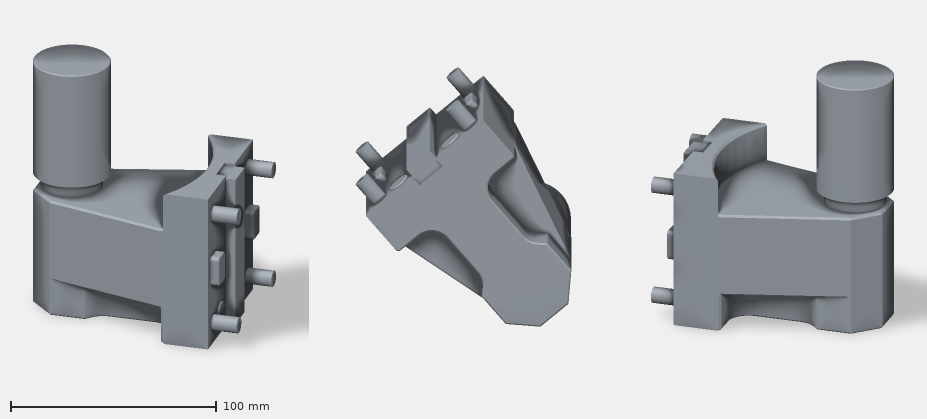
import cadquery as cq
import math

overall_height = 128.0
edge_break = 1.0
fine_break = 0.75

block_width = 75.0
block_height = 80.0
block_back_x = 80.8
block_clearance_radius = 69.0

housing_height = 61.0
nose_x = -17.0
nose_half_width = 9.0
corner_x = -5.0
corner_half_width = nose_half_width + (corner_x - nose_x)
taper_angle = math.radians(15.0)
block_half_width = block_width / 2
block_front_x = corner_x + (block_half_width - corner_half_width) / math.tan(taper_angle)
housing_overlap = 15.0

recess_height = 19.0
recess_half_web = 14.5
recess_fillet = 10.0
recess_flat_start_x = 23.5
bevel_angle = math.radians(45.0)

spindle_diameter = 38.0
spindle_bottom_z = 68.3
spindle_break = 0.5
collar_diameter = 30.4
collar_bottom_z = 61.7
neck_diameter = 19.0

pin_diameter = 8.0
pin_end_x = 94.0
pin_y = 29.0
pin_low_z = 11.0
pin_high_z = 69.0
key_width = 15.0
key_front_x = 75.7
key_back_x = 85.8
key_end_gap = 1.5
pad_width = 10.2
pad_height = 15.2
pad_thickness = 4.6
pad_corner_radius = 2.0
pad_break = 0.4
seal_diameter = 11.0
seal_y = 16.4
seal_z = pin_low_z
seal_thickness = 0.8
seal_break = 0.4


def cylinder_up(diameter, bottom_z, top_z):
    """Cylinder on the spindle axis."""
    return cq.Workplane("XY", origin=(0, 0, bottom_z)).circle(diameter / 2).extrude(top_z - bottom_z)


def make_upper_housing():
    """Tapered body above the recesses, with broken top and lower edges."""
    taper_end_x = block_front_x + housing_overlap
    taper_end_half_width = block_half_width + housing_overlap * math.tan(taper_angle)
    body = (
        cq.Workplane("XY", origin=(0, 0, recess_height))
        .moveTo(nose_x, 0)
        .lineTo(nose_x, -nose_half_width)
        .lineTo(corner_x, -corner_half_width)
        .lineTo(taper_end_x, -taper_end_half_width)
        .lineTo(taper_end_x, 0)
        .mirrorX()
        .extrude(housing_height - recess_height)
    )
    body = body.faces(">Z").chamfer(edge_break).faces("<Z").chamfer(fine_break)
    width_limit = cq.Workplane("XY").box(
        2 * taper_end_x, block_width, housing_height, centered=(True, True, False)
    )
    return body.intersect(width_limit)


def make_nose():
    """Plain prism that carries the nose faces across the broken edge of the recess ceiling."""
    return (
        cq.Workplane("XY", origin=(0, 0, recess_height))
        .moveTo(nose_x, -nose_half_width)
        .lineTo(corner_x, -corner_half_width)
        .lineTo(0, -corner_half_width)
        .lineTo(0, corner_half_width)
        .lineTo(corner_x, corner_half_width)
        .lineTo(nose_x, nose_half_width)
        .close()
        .extrude(fine_break)
    )


def make_lower_body():
    """Nose, recessed web and foot of the mounting block below the recess ceiling."""
    arc_center_y = recess_half_web + recess_fillet
    diagonal = recess_fillet * math.sin(bevel_angle)
    bevel_end_x = recess_flat_start_x - diagonal
    bevel_end_y = arc_center_y - diagonal
    bevel_start_x = bevel_end_x - (corner_half_width - bevel_end_y)
    entry_mid_angle = bevel_angle / 2
    entry_mid_x = recess_flat_start_x - recess_fillet * math.sin(entry_mid_angle)
    entry_mid_y = arc_center_y - recess_fillet * math.cos(entry_mid_angle)
    exit_mid_x = block_front_x - recess_fillet + diagonal

    body = (
        cq.Workplane("XY")
        .moveTo(nose_x, 0)
        .lineTo(nose_x, -nose_half_width)
        .lineTo(corner_x, -corner_half_width)
        .lineTo(bevel_start_x, -corner_half_width)
        .lineTo(bevel_end_x, -bevel_end_y)
        .threePointArc((entry_mid_x, -entry_mid_y), (recess_flat_start_x, -recess_half_web))
        .lineTo(block_front_x - recess_fillet, -recess_half_web)
        .threePointArc((exit_mid_x, -bevel_end_y), (block_front_x, -arc_center_y))
        .lineTo(block_front_x, edge_break - block_half_width)
        .lineTo(block_front_x + edge_break, -block_half_width)
        .lineTo(block_back_x, -block_half_width)
        .lineTo(block_back_x, 0)
        .mirrorX()
        .extrude(recess_height)
    )
    front_edges = body.faces("<Z").edges("not(>X or <Y or >Y)")
    return front_edges.chamfer(fine_break)


def make_upper_block():
    """Mounting block above the recesses, hollowed around the spindle axis above the housing."""
    depth = block_back_x - block_front_x
    block = (
        cq.Workplane("XY")
        .box(depth, block_width, block_height - recess_height, centered=(False, True, False))
        .translate((block_front_x, 0, recess_height))
    )
    clearance = cylinder_up(2 * block_clearance_radius, housing_height - edge_break, block_height)
    rim_cone = cq.Workplane("XY").add(
        cq.Solid.makeCone(
            block_clearance_radius,
            block_clearance_radius + edge_break,
            edge_break,
            pnt=cq.Vector(0, 0, block_height - edge_break),
        )
    )
    return block.cut(clearance).cut(rim_cone)


def make_spindle():
    """Neck, collar and cylindrical cap standing on the housing."""
    neck = cylinder_up(neck_diameter, housing_height - edge_break, collar_bottom_z)
    collar = cylinder_up(collar_diameter, collar_bottom_z, spindle_bottom_z)
    cap = cylinder_up(spindle_diameter, spindle_bottom_z, overall_height)
    return neck.union(collar).union(cap.faces(">Z").chamfer(spindle_break))


def rear_disc(diameter, length, y, z):
    """Disc or pin standing out of the rear mounting face."""
    return cq.Workplane("YZ", origin=(block_back_x, y, z)).circle(diameter / 2).extrude(length)


def make_rear_pad(y):
    """Rounded rectangular locating pad at mid-height of the rear face."""
    return (
        cq.Workplane("YZ", origin=(block_back_x, y, block_height / 2))
        .rect(pad_width, pad_height)
        .extrude(pad_thickness)
        .edges("|X").fillet(pad_corner_radius)
        .faces(">X").chamfer(pad_break)
    )


def make_key_box(bottom_z, top_z, back_x):
    """Upright block in the key slot, from the slot floor to back_x."""
    return (
        cq.Workplane("XY")
        .box(back_x - key_front_x, key_width, top_z - bottom_z, centered=(False, True, False))
        .translate((key_front_x, 0, bottom_z))
    )


def make_housing():
    """Housing and mounting block joined, with the key seated in its slot and the spindle on top."""
    housing = make_lower_body().union(make_upper_block())
    housing = housing.union(make_upper_housing()).union(make_nose())
    housing = housing.cut(make_key_box(0, block_height, block_back_x))
    key = make_key_box(key_end_gap, block_height - key_end_gap, key_back_x)
    return housing.union(key).union(make_spindle()).clean()


def add_rear_hardware(body, side):
    """Pins, pad and seal on one side of the key; side is -1 or +1 in Y."""
    pin_length = pin_end_x - block_back_x
    for pin_z in (pin_low_z, pin_high_z):
        body = body.union(rear_disc(pin_diameter, pin_length, side * pin_y, pin_z))
    seal = rear_disc(seal_diameter, seal_thickness, side * seal_y, seal_z)
    seal = seal.faces(">X").chamfer(seal_break)
    return body.union(make_rear_pad(side * pin_y)).union(seal)


result = make_housing()
for side in (-1, 1):
    result = add_rear_hardware(result, side)